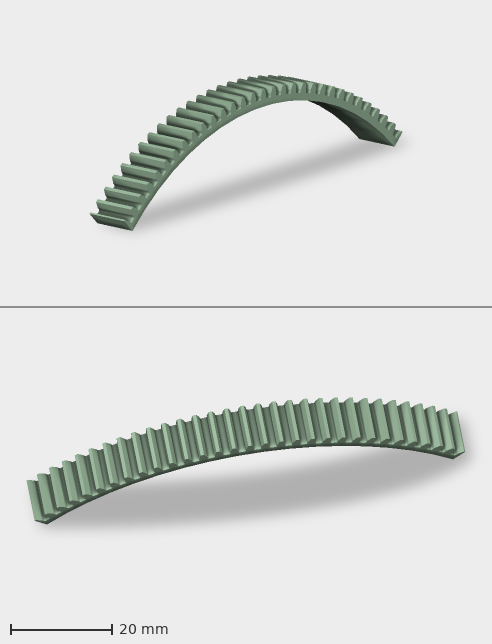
import cadquery as cq
import math

FULL_TEETH = 120
SECTOR_HALF_ANGLE = 45.0
PART_LENGTH = 86.3
FACE_WIDTH = 9.0
PRESSURE_ANGLE = 20.0
TOOTH_THINNING = 0.05
FLANK_DEPTH = 0.3
ROOT_FILLET = 0.35

ADDENDUM_FACTOR = 1.0
DEDENDUM_FACTOR = 1.1
INNER_FACTOR = 2.5

TIP_RADIUS = PART_LENGTH / 2 / math.sin(math.radians(SECTOR_HALF_ANGLE))
MODULE = TIP_RADIUS / (FULL_TEETH / 2 + ADDENDUM_FACTOR)
PITCH_RADIUS = MODULE * FULL_TEETH / 2
BASE_RADIUS = PITCH_RADIUS * math.cos(math.radians(PRESSURE_ANGLE))
FLANK_RADIUS = PITCH_RADIUS - FLANK_DEPTH
ROOT_RADIUS = PITCH_RADIUS - DEDENDUM_FACTOR * MODULE
INNER_RADIUS = PITCH_RADIUS - INNER_FACTOR * MODULE
TOOTH_STEP = 360.0 / FULL_TEETH
GAP_COUNT = round(2 * SECTOR_HALF_ANGLE / TOOTH_STEP)
CUTTER_RADIUS = TIP_RADIUS + MODULE


def polar(radius, degrees):
    """Point at the given radius, with the angle measured from straight up."""
    angle = math.radians(degrees)
    return radius * math.sin(angle), radius * math.cos(angle)


def involute_angle(radius):
    """Polar angle (degrees) an involute has swept when it reaches the radius."""
    pressure = math.acos(BASE_RADIUS / radius)
    return math.degrees(math.tan(pressure) - pressure)


def gap_half_angle(radius):
    """Half the angle of the space between two teeth, on the involute flank."""
    thinning = math.degrees(TOOTH_THINNING / PITCH_RADIUS)
    return TOOTH_STEP / 4 + thinning + involute_angle(radius) - involute_angle(PITCH_RADIUS)


def ring_sector():
    """Plain quarter of a ring, cut off radially at both ends."""
    half = SECTOR_HALF_ANGLE
    return (
        cq.Workplane("YZ")
        .moveTo(*polar(INNER_RADIUS, -half))
        .lineTo(*polar(TIP_RADIUS, -half))
        .threePointArc(polar(TIP_RADIUS, 0), polar(TIP_RADIUS, half))
        .lineTo(*polar(INNER_RADIUS, half))
        .threePointArc(polar(INNER_RADIUS, 0), polar(INNER_RADIUS, -half))
        .close()
        .extrude(FACE_WIDTH / 2, both=True)
    )


def tooth_gap():
    """Cutter for the tooth space at the top of the ring.

    The sides are involute above the flank radius and radial below it, and
    the floor follows the root circle with a fillet in each corner.
    """
    floor_half = gap_half_angle(FLANK_RADIUS)
    flank_radii = [FLANK_RADIUS, PITCH_RADIUS, TIP_RADIUS, CUTTER_RADIUS]
    left_flank = [polar(r, -gap_half_angle(r)) for r in flank_radii]
    right_flank = [polar(r, gap_half_angle(r)) for r in reversed(flank_radii)]
    gap = (
        cq.Workplane("YZ")
        .moveTo(*polar(ROOT_RADIUS, -floor_half))
        .lineTo(*left_flank[0])
        .spline(left_flank[1:], includeCurrent=True)
        .lineTo(*right_flank[0])
        .spline(right_flank[1:], includeCurrent=True)
        .lineTo(*polar(ROOT_RADIUS, floor_half))
        .threePointArc(polar(ROOT_RADIUS, 0), polar(ROOT_RADIUS, -floor_half))
        .close()
        .extrude(FACE_WIDTH / 2, both=True)
    )
    root_corners = cq.selectors.BoxSelector(
        (-FACE_WIDTH, -MODULE, ROOT_RADIUS - ROOT_FILLET),
        (FACE_WIDTH, MODULE, ROOT_RADIUS + ROOT_FILLET),
    )
    return gap.edges("|X").edges(root_corners).fillet(ROOT_FILLET).val()


def all_gaps():
    """One cutter midway between each pair of neighbouring teeth."""
    gap = tooth_gap()
    first_angle = TOOTH_STEP / 2 - SECTOR_HALF_ANGLE
    angles = [first_angle + index * TOOTH_STEP for index in range(GAP_COUNT)]
    return cq.Compound.makeCompound(
        [gap.rotate(cq.Vector(0, 0, 0), cq.Vector(1, 0, 0), angle) for angle in angles]
    )


result = ring_sector().cut(all_gaps())